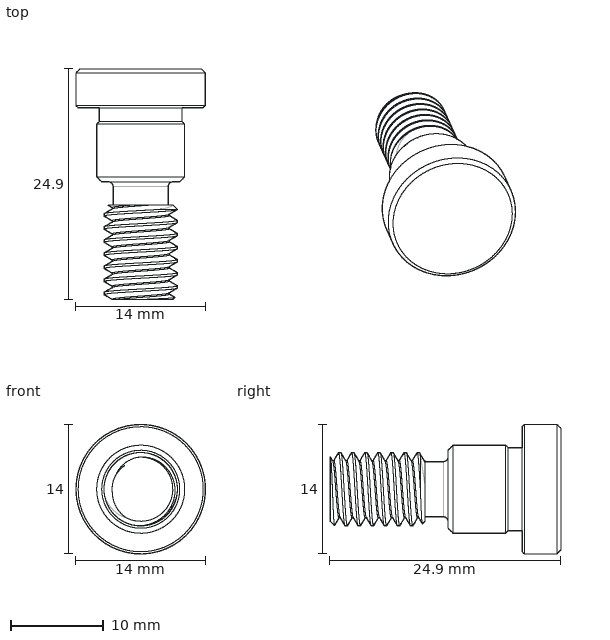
import cadquery as cq

overall_length = 24.9
head_radius = 7.0
head_height = 4.2
head_back_chamfer = 0.45
head_seat_chamfer = 0.25

neck_radius = 4.48
neck_end = -1.5

shoulder_radius = 4.75
shoulder_end = -8.0
shoulder_end_chamfer = 0.55

relief_radius = 2.99
relief_fillet = 0.5

thread_start = -10.45
thread_end = head_height - overall_length
thread_radius = 3.95
thread_root_radius = 3.09
thread_end_chamfer = 0.5
chamfer_overlap = 0.25
thread_pitch = 1.411
crest_width = 0.25
root_width = 0.15
groove_phase = -11.55
groove_overlap = 0.07
turns_before_phase = 2
groove_turns = 9


def turned_blank():
    """Revolve the half outline, with a plain cylinder where the thread will be cut."""
    shoulder_step = shoulder_radius - neck_radius
    return (
        cq.Workplane("XY")
        .moveTo(0, head_height)
        .lineTo(head_radius - head_back_chamfer, head_height)
        .lineTo(head_radius, head_height - head_back_chamfer)
        .lineTo(head_radius, head_seat_chamfer)
        .lineTo(head_radius - head_seat_chamfer, 0)
        .lineTo(neck_radius, 0)
        .lineTo(neck_radius, neck_end)
        .lineTo(shoulder_radius, neck_end - shoulder_step)
        .lineTo(shoulder_radius, shoulder_end + shoulder_end_chamfer)
        .lineTo(shoulder_radius - shoulder_end_chamfer, shoulder_end)
        .lineTo(relief_radius + relief_fillet, shoulder_end)
        .radiusArc((relief_radius, shoulder_end - relief_fillet), -relief_fillet)
        .lineTo(relief_radius, thread_start)
        .lineTo(thread_radius, thread_start)
        .lineTo(thread_radius, thread_end)
        .lineTo(0, thread_end)
        .close()
        .revolve(360, (0, 0, 0), (0, 1, 0))
    )


def thread_groove():
    """Right-hand V groove with a flat root, running out past both ends of the thread."""
    root_half = root_width / 2
    crest_half = (thread_pitch - crest_width) / 2
    flank_slope = (crest_half - root_half) / (thread_radius - thread_root_radius)
    outer_radius = thread_radius + groove_overlap
    outer_half = crest_half + flank_slope * groove_overlap

    section = [
        (thread_root_radius, -root_half),
        (outer_radius, -outer_half),
        (outer_radius, outer_half),
        (thread_root_radius, root_half),
    ]
    groove_length = groove_turns * thread_pitch
    helices = [
        cq.Wire.makeHelix(thread_pitch, groove_length, radius, center=cq.Vector(0, 0, height))
        for radius, height in section
    ]
    side_faces = [
        cq.Face.makeRuledSurface(helices[i - 1], helices[i]) for i in range(len(helices))
    ]
    end_faces = []
    for rise in (0, groove_length):
        corners = [cq.Vector(radius, 0, height + rise) for radius, height in section]
        end_faces.append(cq.Face.makeFromWires(cq.Wire.makePolygon(corners, close=True)))
    shell = cq.Shell.makeShell([*side_faces, *end_faces])
    groove = cq.Workplane(obj=cq.Solid.makeSolid(shell))
    groove_bottom = groove_phase + (turns_before_phase - groove_turns) * thread_pitch
    return groove.rotate((0, 0, 0), (1, 0, 0), -90).translate((0, groove_bottom, 0))


def thread_chamfer(end_face, inward):
    """Ring that bevels one end of the thread; inward is the Y direction into the thread."""
    inner_radius = thread_radius - thread_end_chamfer
    outer_radius = thread_radius + chamfer_overlap
    depth = outer_radius - inner_radius
    return (
        cq.Workplane("XY")
        .polyline([
            (inner_radius, end_face),
            (outer_radius, end_face + inward * depth),
            (outer_radius, end_face),
        ])
        .close()
        .revolve(360, (0, 0, 0), (0, 1, 0))
    )


blank = turned_blank().rotate((0, 0, 0), (0, 1, 0), 180)
threaded = blank.cut(thread_groove())
result = threaded.cut(thread_chamfer(thread_start, -1)).cut(thread_chamfer(thread_end, 1))